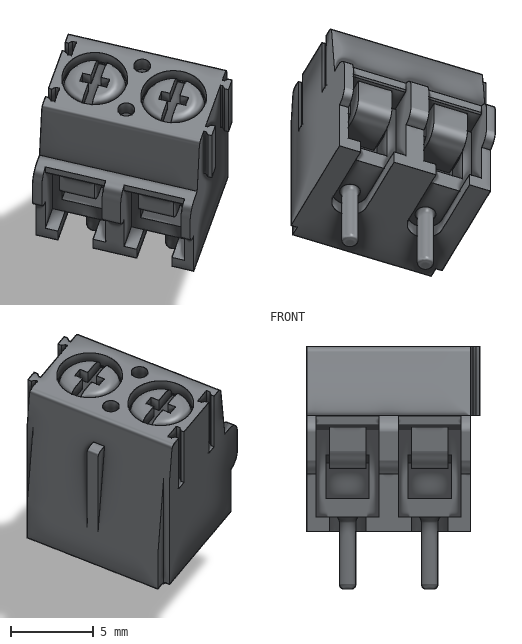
import cadquery as cq
import math


POLE_PITCH = 5.0
POLE_CENTRES = (-POLE_PITCH / 2, POLE_PITCH / 2)
BODY_WIDTH = 2 * POLE_PITCH
BODY_HEIGHT = 11.29
BACK_Y = 3.29
FRONT_Y = -4.23
TOP_HALF_DEPTH = 2.96
WALL_TAPER = math.tan(math.radians(7))
TOP_EDGE_RADIUS = 0.37
UPPER_HEIGHT = 4.22
STEP_Z = BODY_HEIGHT - UPPER_HEIGHT

SHOULDER_Y = -5.0
SHOULDER_RADIUS = 0.98
SHOULDER_BOTTOM_START_Z = 4.3
SHOULDER_BOTTOM_Z = 3.51

PANEL_Y = 4.0
PANEL_INSET = 0.41
RIB_WIDTH = 0.78
RIB_TOP_Z = 9.31
RIB_EDGE_RADIUS = 0.3

BAY_WIDTH = 3.82
BAY_BACK_Y = -2.66
BAY_FLOOR_Z = 0.89
BAY_CEILING_Z = 6.38
LIP_CHAMFER = 0.1
CLAMP_TOP_Z = 6.25
CLAMP_GAP_DEPTH = 0.15

OPENING_WIDTH = 2.63
OPENING_BOTTOM_Z = 2.03
OPENING_TOP_Z = 4.17
OPENING_CHAMFER = 0.49
OPENING_BACK_Y = -1.11
TONGUE_WIDTH = 2.22
TONGUE_Y = -3.9
TONGUE_BOTTOM_Z = 3.83
TONGUE_RADIUS = 1.08

SCREW_HOLE_DIAMETER = 4.0
HEAD_DIAMETER = 3.8
HEAD_FLAT_DIAMETER = 2.28
HEAD_SINK = 0.16
HEAD_EDGE_RADIUS = (HEAD_DIAMETER - HEAD_FLAT_DIAMETER) / 2
SCREW_HOLE_DEPTH = HEAD_SINK + HEAD_EDGE_RADIUS
DRIVE_SLOT_WIDTH = 0.62
DRIVE_CROSS_LENGTH = 1.7
DRIVE_DEPTH = 0.85

TEST_HOLE_DIAMETER = 1.0
TEST_HOLE_DEPTH = 1.0
TEST_HOLE_Y = 1.75

PIN_DIAMETER = 1.0
PIN_LENGTH = 3.51
PIN_TIP_RADIUS = 0.3
PIN_FLARE_RADIUS = 0.5
PIN_FLARE_HEIGHT = 0.34
PIN_SLOT_WIDTH = TONGUE_WIDTH

RAIL_Y = 1.84
TENON_NECK_WIDTH = 0.4
TENON_HEAD_WIDTH = 0.77
TENON_NECK_LENGTH = 0.13
TENON_LENGTH = 0.56
MORTISE_NECK_WIDTH = 0.65
MORTISE_HEAD_WIDTH = 1.05
MORTISE_NECK_LENGTH = 0.2
MORTISE_LENGTH = 0.65


def extrude_x(profile, width, centre_x=0):
    """Extrude a YZ profile symmetrically about centre_x."""
    return profile.extrude(width / 2, both=True).translate((centre_x, 0, 0))


def box(x_size, y_range, z_range, centre_x=0):
    """Box centred on centre_x that spans the given Y and Z ranges."""
    y_low, y_high = y_range
    z_low, z_high = z_range
    block = cq.Workplane("XY").box(x_size, y_high - y_low, z_high - z_low, centered=(True, False, False))
    return block.translate((centre_x, y_low, z_low))


def make_housing():
    """Tapered housing with the front shoulder, back panel and centre rib."""
    panel_top_z = BODY_HEIGHT - (PANEL_Y - TOP_HALF_DEPTH) / WALL_TAPER
    step_y = -TOP_HALF_DEPTH - UPPER_HEIGHT * WALL_TAPER
    shoulder_arc_y = SHOULDER_Y + SHOULDER_RADIUS
    profile = (
        cq.Workplane("YZ")
        .moveTo(PANEL_Y, 0)
        .lineTo(PANEL_Y, panel_top_z)
        .lineTo(TOP_HALF_DEPTH, BODY_HEIGHT)
        .lineTo(-TOP_HALF_DEPTH, BODY_HEIGHT)
        .lineTo(step_y, STEP_Z)
        .lineTo(shoulder_arc_y, STEP_Z)
        .radiusArc((SHOULDER_Y, STEP_Z - SHOULDER_RADIUS), -SHOULDER_RADIUS)
        .lineTo(SHOULDER_Y, SHOULDER_BOTTOM_START_Z)
        .radiusArc((FRONT_Y, SHOULDER_BOTTOM_Z), -SHOULDER_RADIUS)
        .lineTo(FRONT_Y, 0)
        .close()
    )
    housing = extrude_x(profile, BODY_WIDTH)
    housing = housing.faces(">Z").edges("|X").fillet(TOP_EDGE_RADIUS)

    corner_x = (BODY_WIDTH - PANEL_INSET) / 2
    for side in (-1, 1):
        housing = housing.cut(box(PANEL_INSET, (BACK_Y, PANEL_Y), (0, BODY_HEIGHT), side * corner_x))

    rib = box(RIB_WIDTH, (0, PANEL_Y), (0, RIB_TOP_Z))
    rib = rib.edges(">Y and >Z").fillet(RIB_EDGE_RADIUS)
    return housing.union(rib)


def make_bay(centre_x):
    """Space in front of one clamp, with a chamfer under the front lip."""
    profile = cq.Workplane("YZ").polyline([
        (SHOULDER_Y, BAY_FLOOR_Z),
        (BAY_BACK_Y, BAY_FLOOR_Z),
        (BAY_BACK_Y, BAY_CEILING_Z),
        (FRONT_Y + LIP_CHAMFER, BAY_CEILING_Z),
        (FRONT_Y, BAY_CEILING_Z + LIP_CHAMFER),
        (FRONT_Y, STEP_Z),
        (SHOULDER_Y, STEP_Z),
    ]).close()
    bay = extrude_x(profile, BAY_WIDTH, centre_x)
    gap_y = (BAY_BACK_Y, BAY_BACK_Y + CLAMP_GAP_DEPTH)
    return bay.union(box(BAY_WIDTH, gap_y, (CLAMP_TOP_Z, BAY_CEILING_Z), centre_x))


def make_wire_opening(centre_x):
    """Wire opening with a chamfered entry along its top edge."""
    profile = cq.Workplane("YZ").polyline([
        (BAY_BACK_Y, OPENING_BOTTOM_Z),
        (OPENING_BACK_Y, OPENING_BOTTOM_Z),
        (OPENING_BACK_Y, OPENING_TOP_Z),
        (BAY_BACK_Y + OPENING_CHAMFER, OPENING_TOP_Z),
        (BAY_BACK_Y, OPENING_TOP_Z + OPENING_CHAMFER),
    ]).close()
    return extrude_x(profile, OPENING_WIDTH, centre_x)


def make_tongue(centre_x):
    """Guard tongue that hangs in the bay and reaches into the wire opening."""
    profile = (
        cq.Workplane("YZ")
        .moveTo(OPENING_BACK_Y, BAY_CEILING_Z)
        .lineTo(TONGUE_Y, BAY_CEILING_Z)
        .lineTo(TONGUE_Y, TONGUE_BOTTOM_Z + TONGUE_RADIUS)
        .radiusArc((TONGUE_Y + TONGUE_RADIUS, TONGUE_BOTTOM_Z), -TONGUE_RADIUS)
        .lineTo(OPENING_BACK_Y, TONGUE_BOTTOM_Z)
        .close()
    )
    return extrude_x(profile, TONGUE_WIDTH, centre_x)


def make_pin_slot(centre_x):
    """Slot in the bay floor, open to the front and rounded behind the pin."""
    slot = cq.Workplane("XY").circle(PIN_SLOT_WIDTH / 2).extrude(BAY_FLOOR_Z).translate((centre_x, 0, 0))
    return slot.union(box(PIN_SLOT_WIDTH, (FRONT_Y, 0), (0, BAY_FLOOR_Z), centre_x))


def make_pin(centre_x):
    """Revolved solder pin with a rounded tip and a flared root."""
    radius = PIN_DIAMETER / 2
    flare_growth = PIN_FLARE_RADIUS - math.sqrt(PIN_FLARE_RADIUS**2 - PIN_FLARE_HEIGHT**2)
    profile = (
        cq.Workplane("XZ")
        .moveTo(0, -PIN_LENGTH)
        .lineTo(radius - PIN_TIP_RADIUS, -PIN_LENGTH)
        .radiusArc((radius, PIN_TIP_RADIUS - PIN_LENGTH), -PIN_TIP_RADIUS)
        .lineTo(radius, BAY_FLOOR_Z - PIN_FLARE_HEIGHT)
        .radiusArc((radius + flare_growth, BAY_FLOOR_Z), PIN_FLARE_RADIUS)
        .lineTo(0, BAY_FLOOR_Z)
        .close()
    )
    return profile.revolve(360, (0, 0), (0, 1)).translate((centre_x, 0, 0))


def make_top_hole(centre_x, centre_y, diameter, depth):
    """Round blind hole that goes down from the top face."""
    hole = cq.Workplane("XY").circle(diameter / 2).extrude(depth)
    return hole.translate((centre_x, centre_y, BODY_HEIGHT - depth))


def make_screw_head(centre_x):
    """Screw head with a rounded edge and a flat top, standing on the hole floor."""
    profile = (
        cq.Workplane("XZ")
        .lineTo(HEAD_DIAMETER / 2, 0)
        .radiusArc((HEAD_FLAT_DIAMETER / 2, HEAD_EDGE_RADIUS), -HEAD_EDGE_RADIUS)
        .lineTo(0, HEAD_EDGE_RADIUS)
        .close()
    )
    head = profile.revolve(360, (0, 0), (0, 1))
    return head.translate((centre_x, 0, BODY_HEIGHT - SCREW_HOLE_DEPTH))


def make_drive_slots(centre_x):
    """Cross recess: one slot across the whole head and a shorter cross slot."""
    head_top_z = BODY_HEIGHT - HEAD_SINK
    z_range = (head_top_z - DRIVE_DEPTH, head_top_z)
    half_head = HEAD_DIAMETER / 2
    half_slot = DRIVE_SLOT_WIDTH / 2
    long_slot = box(DRIVE_SLOT_WIDTH, (-half_head, half_head), z_range, centre_x)
    return long_slot.union(box(DRIVE_CROSS_LENGTH, (-half_slot, half_slot), z_range, centre_x))


def make_rail(face_x, centre_y, neck_width, head_width, neck_length, length):
    """Upright rail that starts at face_x, runs towards +X and widens at 45 degrees."""
    flare_end = neck_length + (head_width - neck_width) / 2
    half_outline = [
        (0, neck_width / 2),
        (neck_length, neck_width / 2),
        (flare_end, head_width / 2),
        (length, head_width / 2),
    ]
    mirrored = [(x, -y) for x, y in reversed(half_outline)]
    rail = cq.Workplane("XY").polyline(half_outline + mirrored).close().extrude(UPPER_HEIGHT)
    return rail.translate((face_x, centre_y, STEP_Z))


result = make_housing()

for pole_x in POLE_CENTRES:
    result = result.cut(make_bay(pole_x))
    result = result.cut(make_wire_opening(pole_x))
    result = result.cut(make_pin_slot(pole_x))
    result = result.cut(make_top_hole(pole_x, 0, SCREW_HOLE_DIAMETER, SCREW_HOLE_DEPTH))
    result = result.union(make_tongue(pole_x))
    result = result.union(make_pin(pole_x))
    result = result.union(make_screw_head(pole_x))
    result = result.cut(make_drive_slots(pole_x))

for side in (-1, 1):
    result = result.cut(make_top_hole(0, side * TEST_HOLE_Y, TEST_HOLE_DIAMETER, TEST_HOLE_DEPTH))

    mortise = make_rail(-BODY_WIDTH / 2, side * RAIL_Y, MORTISE_NECK_WIDTH, MORTISE_HEAD_WIDTH,
                        MORTISE_NECK_LENGTH, MORTISE_LENGTH)
    result = result.cut(mortise)

    tenon = make_rail(BODY_WIDTH / 2, side * RAIL_Y, TENON_NECK_WIDTH, TENON_HEAD_WIDTH,
                      TENON_NECK_LENGTH, TENON_LENGTH)
    result = result.union(tenon)